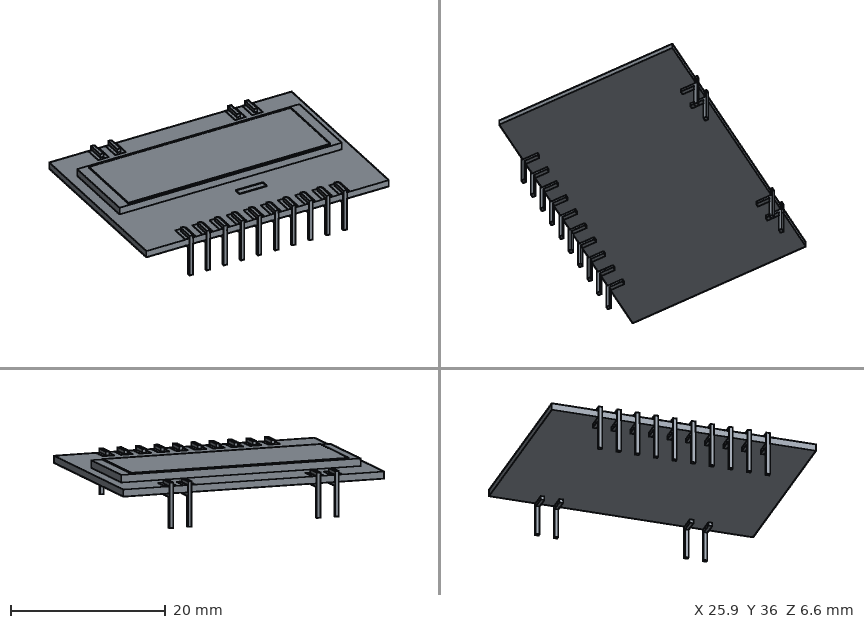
import cadquery as cq

board_width = 25.5
board_length = 36.0
board_thickness = 0.95

pin_pitch = 2.54
pin_positions = 10
left_pin_indices = (0, 1, 8, 9)
pin_width = 0.5
pin_overhang = 0.18
leg_thickness = 0.45
arm_length = 2.4
arm_thickness = 0.5
clip_top_z = 5.97

pad_length = 2.65
pad_width = 1.55
pad_thickness = 0.02
pad_notch_width = 1.2
pad_notch_depth = 0.2

glass_width = 11.1
glass_length = 33.0
glass_center_x = -2.5
screen_width = 10.4
screen_length = 30.0
screen_thickness = 0.13
overall_height = 6.6

chip_width = 1.0
chip_length = 4.05
chip_thickness = 0.1
chip_center_x = 5.8
chip_center_y = 1.5

board_top_z = clip_top_z - arm_thickness
board_bottom_z = board_top_z - board_thickness
clip_bottom_z = board_bottom_z - arm_thickness
glass_top_z = overall_height - screen_thickness
glass_thickness = glass_top_z - board_top_z

board_edge_x = board_width / 2
pin_outer_x = board_edge_x + pin_overhang


def block(width, length, height, center_x, center_y, bottom_z):
    """Upright box located by its plan centre and its bottom face."""
    return (
        cq.Workplane("XY", origin=(center_x, center_y, bottom_z))
        .box(width, length, height, centered=(True, True, False))
    )


def make_board():
    return block(board_width, board_length, board_thickness, 0, 0, board_bottom_z)


def make_display():
    glass = block(glass_width, glass_length, glass_thickness, glass_center_x, 0, board_top_z)
    screen = block(screen_width, screen_length, screen_thickness, glass_center_x, 0, glass_top_z)
    return glass.union(screen)


def make_chip():
    return block(chip_width, chip_length, chip_thickness, chip_center_x, chip_center_y, board_top_z)


def make_pin(side, center_y):
    """Clip pin on the +X (side = 1) or -X (side = -1) board edge."""
    leg_x = side * (pin_outer_x - leg_thickness / 2)
    arm_x = side * (pin_outer_x - arm_length / 2)
    leg = block(leg_thickness, pin_width, clip_top_z, leg_x, center_y, 0)
    upper_arm = block(arm_length, pin_width, arm_thickness, arm_x, center_y, board_top_z)
    lower_arm = block(arm_length, pin_width, arm_thickness, arm_x, center_y, clip_bottom_z)
    return leg.union(upper_arm).union(lower_arm)


def make_pad(side, center_y):
    """Thin pad with a shallow arc cut from its outer end."""
    inner_x = side * (board_edge_x - pad_length)
    outer_x = side * board_edge_x
    notch_x = side * (board_edge_x - pad_notch_depth)
    half_width = pad_width / 2
    half_notch = pad_notch_width / 2
    return (
        cq.Workplane("XY", origin=(0, center_y, board_top_z))
        .moveTo(inner_x, -half_width)
        .lineTo(outer_x, -half_width)
        .lineTo(outer_x, -half_notch)
        .threePointArc((notch_x, 0), (outer_x, half_notch))
        .lineTo(outer_x, half_width)
        .lineTo(inner_x, half_width)
        .close()
        .extrude(pad_thickness)
    )


def add_contact(body, side, index):
    """Add the pad and pin at a pitch position, counted from the -Y end."""
    center_y = (index - (pin_positions - 1) / 2) * pin_pitch
    return body.union(make_pad(side, center_y)).union(make_pin(side, center_y))


result = make_board().union(make_display()).union(make_chip())
for left_index in left_pin_indices:
    result = add_contact(result, -1, left_index)
for right_index in range(pin_positions):
    result = add_contact(result, 1, right_index)